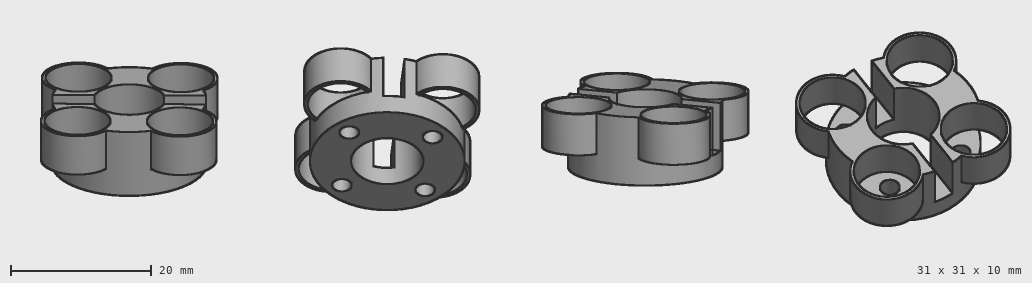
import cadquery as cq

overall_width = 31.0
total_height = 10.0

body_diameter = 22.0
bore_diameter = 10.3

cup_inner_diameter = 9.4
cup_outer_diameter = 10.4
cup_height = 6.0
cup_floor_z = total_height - cup_height
cup_center_radius = (overall_width - cup_outer_diameter) / 2

screw_hole_diameter = 2.8
screw_circle_radius = 8.4

slot_width = 3.0
slot_floor_z = 3.0
slot_angle = 45

quarter_turns = (0, 90, 180, 270)


def cylinder(diameter, height, x=0, z=0):
    return cq.Workplane("XY", origin=(x, 0, z)).circle(diameter / 2).extrude(height)


def around(shape, angle):
    return shape.rotate((0, 0, 0), (0, 0, 1), angle)


result = cylinder(body_diameter, total_height)
cup_outside = cylinder(cup_outer_diameter, cup_height, cup_center_radius, cup_floor_z)
for angle in quarter_turns:
    result = result.union(around(cup_outside, angle))

cup_pocket = cylinder(cup_inner_diameter, cup_height, cup_center_radius, cup_floor_z)
screw_hole = cylinder(screw_hole_diameter, total_height, screw_circle_radius)
for angle in quarter_turns:
    result = result.cut(around(cup_pocket, angle)).cut(around(screw_hole, angle))

result = result.cut(cylinder(bore_diameter, total_height))

slot = (
    cq.Workplane("XY", origin=(0, 0, slot_floor_z))
    .rect(overall_width, slot_width)
    .extrude(total_height - slot_floor_z)
)
result = result.cut(around(slot, slot_angle))